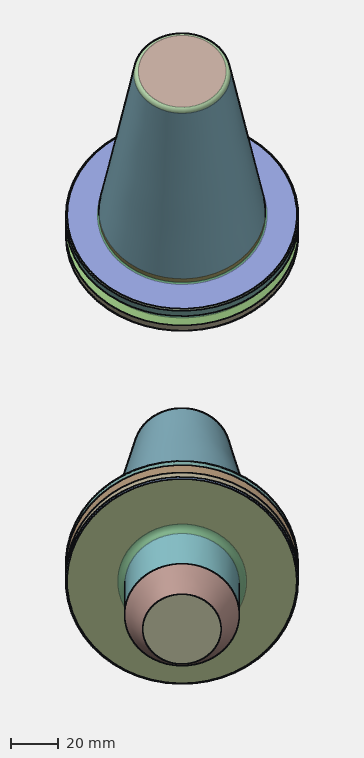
import cadquery as cq
import math

total_height = 164.6
flange_bottom = 44.0
flange_thickness = 16.0
flange_top = flange_bottom + flange_thickness

shank_radius = 24.0
nose_height = 13.2
nose_angle = 30.0
nose_radius = shank_radius - nose_height * math.tan(math.radians(nose_angle))
shank_fillet = 3.0

flange_radius = 48.7
flange_chamfer = 0.7
groove_floor_radius = 45.5
groove_floor_width = 3.0
groove_fillet = 1.0
groove_wall_angle = 30.0
groove_center = 52.0

taper_ratio = 7 / 24
collar_height = 3.1
taper_base_radius = 34.9
collar_fillet = 0.7
taper_base = flange_top + collar_height
taper_top_radius = taper_base_radius - (total_height - taper_base) * taper_ratio / 2
top_fillet = 2.0


def cone(base_z, base_radius, height, top_radius):
    """Solid frustum about the Z axis."""
    profile = [(0, base_z), (base_radius, base_z), (top_radius, base_z + height), (0, base_z + height)]
    return cq.Workplane("XZ").polyline(profile).close().revolve(360, (0, 0), (0, 1))


def make_flange():
    disc = cone(flange_bottom, flange_radius, flange_thickness, flange_radius)
    disc = disc.edges("%CIRCLE").chamfer(flange_chamfer)
    half_floor = groove_floor_width / 2
    wall_rise = (flange_radius - groove_floor_radius) * math.tan(math.radians(groove_wall_angle))
    half_mouth = half_floor + wall_rise
    groove = (
        cq.Workplane("XZ")
        .polyline([
            (groove_floor_radius, groove_center - half_floor),
            (flange_radius, groove_center - half_mouth),
            (flange_radius, groove_center + half_mouth),
            (groove_floor_radius, groove_center + half_floor),
        ])
        .close()
        .revolve(360, (0, 0), (0, 1))
    )
    floor_edges = cq.selectors.RadiusNthSelector(0)
    return disc.cut(groove.edges("%CIRCLE").edges(floor_edges).fillet(groove_fillet))


def concave_ring(inner_radius, corner_z, fillet_radius, direction):
    """Core with a concave quarter round spreading from inner_radius into the flange face at corner_z.

    direction is +1 when the core stands above the face and -1 when it hangs below it.
    """
    far_z = corner_z + direction * fillet_radius
    outer_radius = inner_radius + fillet_radius
    diagonal = fillet_radius * math.sqrt(0.5)
    return (
        cq.Workplane("XZ")
        .moveTo(0, far_z)
        .lineTo(inner_radius, far_z)
        .threePointArc((outer_radius - diagonal, far_z - direction * diagonal), (outer_radius, corner_z))
        .lineTo(0, corner_z)
        .close()
        .revolve(360, (0, 0), (0, 1))
    )


def make_shank():
    nose = cone(0, nose_radius, nose_height, shank_radius)
    neck_base = flange_bottom - shank_fillet
    shank = cone(nose_height, shank_radius, neck_base - nose_height, shank_radius)
    neck = concave_ring(shank_radius, flange_bottom, shank_fillet, -1)
    return nose.union(shank).union(neck)


def make_taper():
    root = concave_ring(taper_base_radius, flange_top, collar_fillet, 1)
    collar_base = flange_top + collar_fillet
    collar = cone(collar_base, taper_base_radius, taper_base - collar_base, taper_base_radius)
    taper = cone(taper_base, taper_base_radius, total_height - taper_base, taper_top_radius)
    return root.union(collar).union(taper.faces(">Z").edges().fillet(top_fillet))


result = make_shank().union(make_flange()).union(make_taper())